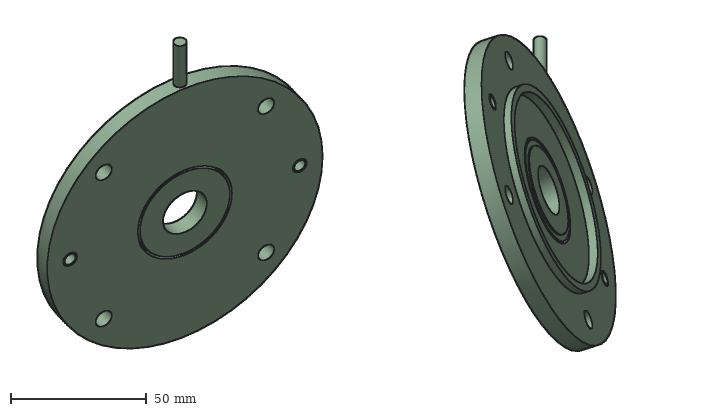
import cadquery as cq

overall_depth = 10.0
boss_depth = 3.0
flange_diameter = 120.0
boss_diameter = 80.0

recess_diameter = 74.0
recess_depth = 3.5
cover_thickness = 2.0
center_opening = 41.0

hub_diameter = 39.1
hub_nose_diameter = 34.5
hub_nose_length = 0.5
hub_bore = 19.0

hole_circle_radius = 50.0
bolt_hole_diameter = 7.0
bolt_hole_count = 4
bolt_start_angle = 45.0
insert_diameter = 6.0
insert_bore = 4.77
insert_sides = (-1, 1)

cable_diameter = 5.0
cable_free_length = 20.0
cable_seat_depth = 3.0

cover_back = recess_depth + cover_thickness
hub_shoulder = recess_depth
hub_front = hub_shoulder - hub_nose_length
cable_bottom = flange_diameter / 2 - cable_seat_depth
cable_length = cable_seat_depth + cable_free_length
cable_x = (boss_depth + overall_depth) / 2


def cylinder_x(diameter, start, end):
    """Solid cylinder along X, centred on the part's axis, from start to end."""
    return cq.Workplane("YZ").workplane(offset=start).circle(diameter / 2).extrude(end - start)


def make_cable():
    """Round cable that leaves the rim radially, straight up."""
    return (
        cq.Workplane("XY")
        .workplane(offset=cable_bottom)
        .center(cable_x, 0)
        .circle(cable_diameter / 2)
        .extrude(cable_length)
    )


def make_housing():
    """Flange with a front boss, a stepped centre opening and the mounting holes."""
    body = cylinder_x(flange_diameter, boss_depth, overall_depth)
    body = body.union(cylinder_x(boss_diameter, 0, boss_depth))
    body = body.cut(cylinder_x(recess_diameter, 0, cover_back))
    body = body.cut(cylinder_x(center_opening, 0, overall_depth))
    bolt_holes = (
        cq.Workplane("YZ")
        .polarArray(hole_circle_radius, bolt_start_angle, 360, bolt_hole_count)
        .circle(bolt_hole_diameter / 2)
        .extrude(overall_depth)
    )
    body = body.cut(bolt_holes)
    for side in insert_sides:
        insert_hole = cylinder_x(insert_diameter, 0, overall_depth)
        body = body.cut(insert_hole.translate((0, side * hole_circle_radius, 0)))
    return body.cut(make_cable())


def make_cover():
    """Flat ring seated at the bottom of the recess."""
    ring = cylinder_x(recess_diameter, recess_depth, cover_back)
    return ring.cut(cylinder_x(center_opening, 0, overall_depth))


def make_hub():
    """Bored hub with a narrower nose at the front and its shoulder flush with the cover."""
    hub = cylinder_x(hub_diameter, hub_shoulder, overall_depth)
    hub = hub.union(cylinder_x(hub_nose_diameter, hub_front, hub_shoulder))
    return hub.cut(cylinder_x(hub_bore, 0, overall_depth))


def make_insert(side):
    """Sleeve through the flange, on the -Y (side = -1) or +Y (side = 1) side of the axis."""
    sleeve = cylinder_x(insert_diameter, boss_depth, overall_depth)
    sleeve = sleeve.cut(cylinder_x(insert_bore, 0, overall_depth))
    return sleeve.translate((0, side * hole_circle_radius, 0))


housing = make_housing()
cover = make_cover()
hub = make_hub()
cable = make_cable()
inserts = [make_insert(side) for side in insert_sides]

result = cq.Compound.makeCompound(
    [housing.val(), cover.val(), hub.val(), cable.val()] + [insert.val() for insert in inserts]
)